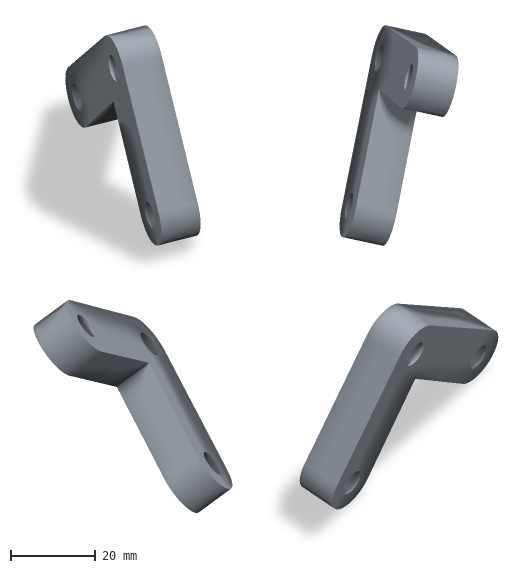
import cadquery as cq
import math

overall_width = 62.2
overall_height = 42.85
thickness = 10.0
end_diameter = 15.0
hole_diameter = 6.5
apex_hole_height = 27.1
notch_height = 16.9

end_radius = end_diameter / 2
half_span = overall_width / 2 - end_radius
apex_height = overall_height - 2 * end_radius

arm_angle = math.atan2(apex_height, half_span)
outer_x = end_radius * math.sin(arm_angle)
outer_z = end_radius * math.cos(arm_angle)

notch_distance = math.hypot(half_span, notch_height)
notch_angle = math.atan2(notch_height, half_span)
inner_angle = notch_angle + math.asin(end_radius / notch_distance)
inner_x = end_radius * math.sin(inner_angle)
inner_z = end_radius * math.cos(inner_angle)


def make_bracket():
    """V-shaped plate with rounded ends and a rounded apex."""
    return (
        cq.Workplane("XZ")
        .moveTo(-outer_x, apex_height + outer_z)
        .threePointArc((0, apex_height + end_radius), (outer_x, apex_height + outer_z))
        .lineTo(half_span + outer_x, outer_z)
        .threePointArc((half_span, -end_radius), (half_span - inner_x, -inner_z))
        .lineTo(0, notch_height)
        .lineTo(-half_span + inner_x, -inner_z)
        .threePointArc((-half_span, -end_radius), (-half_span - outer_x, outer_z))
        .close()
        .extrude(thickness / 2, both=True)
    )


def make_holes():
    """Cutting cylinders for the three mounting holes."""
    hole_centres = [(-half_span, 0), (half_span, 0), (0, apex_hole_height)]
    return (
        cq.Workplane("XZ")
        .pushPoints(hole_centres)
        .circle(hole_diameter / 2)
        .extrude(thickness, both=True)
    )


result = make_bracket().cut(make_holes())